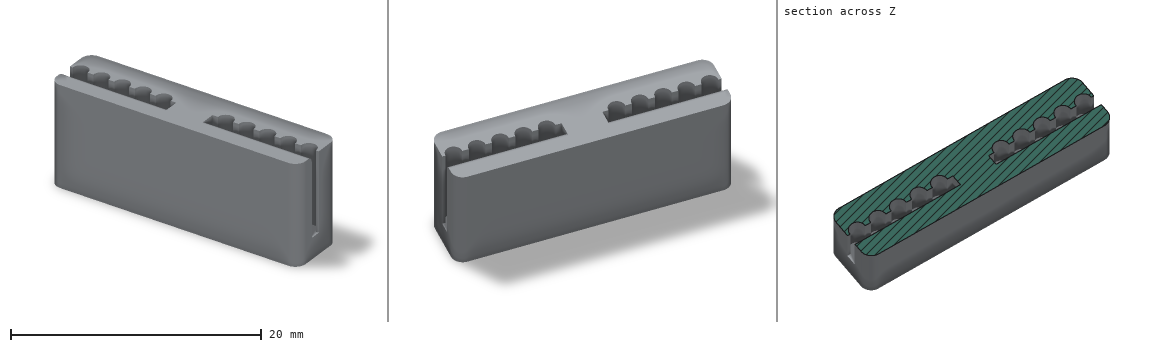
import cadquery as cq

LENGTH = 24.0
WIDTH = 5.52
HEIGHT = 9.5
CORNER_RADIUS = 1.0

WEB = 3.5
SLOT_WIDTH = 1.0
SLOT_DEPTH = 7.5
SLOT_BACK_Y = 0.12
LIP_RADIUS = 0.5

PITCHES_ALONG_LENGTH = 12
FLUTES_PER_SLOT = 5
FLUTE_RADIUS = 0.72
FLUTE_SIDES = 38
FLUTE_OFFSET = 0.05

slot_length = (LENGTH - WEB) / 2
slot_front_y = SLOT_BACK_Y - SLOT_WIDTH
slot_floor = HEIGHT - SLOT_DEPTH
pitch = LENGTH / PITCHES_ALONG_LENGTH


def make_block():
    block = cq.Workplane("XY").rect(LENGTH, WIDTH).extrude(HEIGHT)
    return block.edges("|Z").fillet(CORNER_RADIUS)


def make_slot(side):
    """Slot with a rounded front lip, at the -X (side=-1) or +X (side=1) end."""
    start_x = WEB / 2 if side > 0 else -LENGTH / 2
    start_plane = cq.Workplane("YZ").workplane(offset=start_x)
    return (
        start_plane.moveTo(SLOT_BACK_Y, slot_floor)
        .lineTo(SLOT_BACK_Y, HEIGHT)
        .lineTo(slot_front_y - LIP_RADIUS, HEIGHT)
        .radiusArc((slot_front_y, HEIGHT - LIP_RADIUS), LIP_RADIUS)
        .lineTo(slot_front_y, slot_floor)
        .close()
        .extrude(slot_length)
    )


def make_flutes(side):
    """Row of many-sided flutes, the first half a pitch in from the end face."""
    centers = [
        (side * (LENGTH / 2 - (i + 0.5) * pitch), SLOT_BACK_Y + FLUTE_OFFSET)
        for i in range(FLUTES_PER_SLOT)
    ]
    return (
        cq.Workplane("XY")
        .workplane(offset=slot_floor)
        .pushPoints(centers)
        .polygon(FLUTE_SIDES, 2 * FLUTE_RADIUS)
        .extrude(SLOT_DEPTH)
    )


result = make_block()
for side in (-1, 1):
    result = result.cut(make_slot(side)).cut(make_flutes(side))